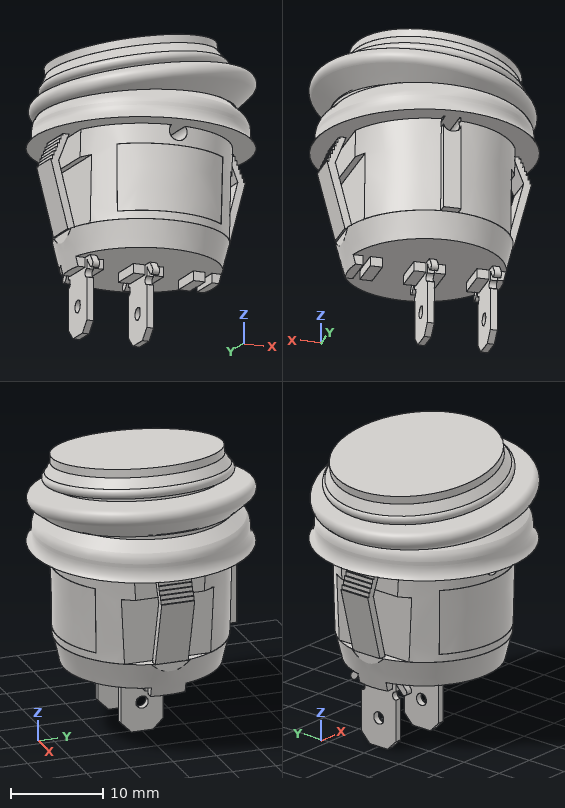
import cadquery as cq
import math


cap_tilt = 9.0
boot_tilt = 8.5

flange_radius = 12.5
band_radius = 23.8 / 2
skirt_height = 1.5
band_top = 1.92
shoulder_radius = 23.0 / 2
shoulder_top = 3.05
neck_radius = 10.25
neck_base = 4.2
neck_top = 4.73

bead_radius = 1.08
bead_ring_radius = 22.85 / 2
bead_center_x = 0.17
bead_center_z = 5.7
boot_under_angle = 37.0
boot_hub_radius = 9.8

cap_face_radius = 19.0 / 2
cap_face_x = -1.25
cap_face_z = 10.23
cap_dome_rise = 0.55
cap_wall_height = 0.95
cap_rim_radius = 10.2
cap_rim_depth = 2.05
cap_rim_roll = 0.6
cap_roll_start = 60.0
cap_neck_radius = 9.12
cap_neck_depth = 3.7

barrel_top_radius = 9.93
barrel_bottom_radius = 9.65
barrel_height = 10.67
upper_flat_x = 9.0
lower_flat_x = 8.27
flat_step_z = -3.07
vent_diameter = 2.1
vent_z = -0.65
key_width = 2.0
key_reach = 10.75
label_top_z = -2.23
label_bottom_z = -9.75
label_angle = 79.0
label_thickness = 0.05

base_top_radius = 9.62
base_taper = 0.75
base_height = 3.05
base_flat_x = 9.35
base_bottom_z = -barrel_height - base_height
foot_height = 1.08
foot_length = 3.58
foot_width = 4.02
terminal_pitch = 7.13

leg_width = 3.8
leg_bend_x = 11.58
leg_top_x = 10.13
leg_bottom_x = 9.55
leg_thickness_x = 0.88
leg_inner_bend_x = 10.65
leg_inner_top_x = 9.42
tooth_count = 7
tooth_first_z = -0.17
tooth_last_z = -2.97

terminal_thickness = 0.8
terminal_width = 4.9
terminal_tip_z = -22.05
terminal_chamfer = 1.18
terminal_hole_diameter = 1.4
terminal_hole_z = -18.7
notch_radius = 0.47
notch_z = -15.55
barb_radius = 0.4
barb_tip_y = 3.6
barb_tip_z = -14.75
barb_angle = 41.0
barb_length = 2.7

cut_length = 67.55


def revolved(profile):
    """Turn a closed X-Z half profile about the Z axis."""
    return profile.close().revolve(360, (0, 0), (0, 1))


def tilted(body, angle, x, z):
    """Lean a body toward -X by the angle and move its origin to (x, 0, z)."""
    return body.rotate((0, 0, 0), (0, 1, 0), -angle).translate((x, 0, z))


def box_between(x0, x1, y0, y1, z0, z1):
    """Axis-aligned box between two corners."""
    return cq.Workplane("XY").box(x1 - x0, y1 - y0, z1 - z0, centered=False).translate((x0, y0, z0))


def between_flats(half_width, z0, z1):
    """Slab between two flats at +X and -X, used to trim round bodies."""
    return box_between(-half_width, half_width, -cut_length, cut_length, z0, z1)


def make_bezel():
    flare = flange_radius - band_radius
    skirt_arc = (flare**2 + skirt_height**2) / (2 * flare)
    half_sweep = math.asin(skirt_height / skirt_arc) / 2
    skirt_mid = (
        band_radius + skirt_arc * (1 - math.cos(half_sweep)),
        skirt_height - skirt_arc * math.sin(half_sweep),
    )
    profile = (
        cq.Workplane("XZ")
        .lineTo(flange_radius, 0)
        .threePointArc(skirt_mid, (band_radius, skirt_height))
        .lineTo(band_radius, band_top)
        .tangentArcPoint((shoulder_radius, shoulder_top), relative=False)
        .lineTo(neck_radius, neck_base)
        .lineTo(neck_radius, neck_top)
        .lineTo(0, neck_top)
    )
    return revolved(profile)


def make_boot(bezel):
    slope = math.radians(boot_under_angle)
    tangent_r = bead_ring_radius + bead_radius * math.sin(slope)
    tangent_z = -bead_radius * math.cos(slope)
    hub_z = tangent_z - (tangent_r - boot_hub_radius) * math.tan(slope)
    profile = (
        cq.Workplane("XZ")
        .moveTo(0, hub_z)
        .lineTo(boot_hub_radius, hub_z)
        .lineTo(tangent_r, tangent_z)
        .threePointArc((bead_ring_radius + bead_radius, 0), (bead_ring_radius, bead_radius))
        .lineTo(0, bead_radius)
    )
    return tilted(revolved(profile), boot_tilt, bead_center_x, bead_center_z).cut(bezel)


def make_cap(boot):
    start = math.radians(cap_roll_start)
    roll_center_r = cap_rim_radius - cap_rim_roll * math.cos(start)
    roll_center_z = -cap_rim_depth - cap_rim_roll * math.sin(start)
    dome_radius = (cap_face_radius**2 + cap_dome_rise**2) / (2 * cap_dome_rise)
    half_sweep = math.asin(cap_face_radius / dome_radius) / 2
    dome_mid = (
        dome_radius * math.sin(half_sweep),
        cap_dome_rise - dome_radius * (1 - math.cos(half_sweep)),
    )
    profile = (
        cq.Workplane("XZ")
        .moveTo(0, cap_dome_rise)
        .threePointArc(dome_mid, (cap_face_radius, 0))
        .lineTo(cap_face_radius, -cap_wall_height)
        .lineTo(cap_rim_radius, -cap_rim_depth)
        .threePointArc(
            (roll_center_r + cap_rim_roll, roll_center_z),
            (roll_center_r, roll_center_z - cap_rim_roll),
        )
        .lineTo(cap_neck_radius, roll_center_z - cap_rim_roll)
        .lineTo(cap_neck_radius, -cap_neck_depth)
        .lineTo(0, -cap_neck_depth)
    )
    return tilted(revolved(profile), cap_tilt, cap_face_x, cap_face_z).cut(boot)


def make_barrel():
    profile = (
        cq.Workplane("XZ")
        .lineTo(barrel_top_radius, 0)
        .lineTo(barrel_bottom_radius, -barrel_height)
        .lineTo(0, -barrel_height)
    )
    flats = between_flats(upper_flat_x, flat_step_z, 0)
    flats = flats.union(between_flats(lower_flat_x, -barrel_height, flat_step_z))
    return revolved(profile).intersect(flats)


def barrel_radius(z):
    """Radius of the tapered barrel at height z."""
    return barrel_top_radius + (barrel_top_radius - barrel_bottom_radius) * z / barrel_height


def make_label_panel():
    """Thin curved panel on the -Y side of the barrel."""
    top = barrel_radius(label_top_z)
    bottom = barrel_radius(label_bottom_z)
    sector = (
        cq.Workplane("XZ")
        .moveTo(0, label_top_z)
        .lineTo(top + label_thickness, label_top_z)
        .lineTo(bottom + label_thickness, label_bottom_z)
        .lineTo(0, label_bottom_z)
        .close()
        .revolve(label_angle, (0, 0), (0, 1))
    )
    center = sector.val().Center()
    turn = -90 - math.degrees(math.atan2(center.y, center.x))
    return sector.rotate((0, 0, 0), (0, 0, 1), turn)


def make_key():
    """Rib along the +Y side of the barrel."""
    return box_between(-key_width / 2, key_width / 2, 0, key_reach, -barrel_height, 0)


def make_base():
    """Tapered base with three feet, each slotted for a terminal."""
    full_height = base_height + foot_height
    end_radius = base_top_radius - base_taper * full_height / base_height
    foot_z = base_bottom_z - foot_height
    cone = revolved(
        cq.Workplane("XZ")
        .moveTo(0, -barrel_height)
        .lineTo(base_top_radius, -barrel_height)
        .lineTo(end_radius, foot_z)
        .lineTo(0, foot_z)
    )
    keep = between_flats(base_flat_x, base_bottom_z, -barrel_height)
    for x in (-terminal_pitch, 0, terminal_pitch):
        foot = cq.Workplane("XY").box(foot_length, foot_width, foot_height)
        slot = cq.Workplane("XY").box(terminal_thickness, foot_width, foot_height)
        keep = keep.union(foot.cut(slot).translate((x, 0, foot_z + foot_height / 2)))
    return cone.intersect(keep)


def make_leg():
    """Bent snap leg on the +X side with a toothed upper outer face."""
    pitch = (tooth_first_z - tooth_last_z) / (tooth_count - 1)
    step = (leg_bend_x - leg_top_x) / tooth_count
    outline = cq.Workplane("XZ").moveTo(leg_inner_top_x, 0).lineTo(leg_top_x, 0)
    for i in range(tooth_count):
        tooth_z = tooth_first_z - i * pitch
        outline = outline.lineTo(leg_top_x + i * step, tooth_z)
        outline = outline.lineTo(leg_top_x + (i + 1) * step, tooth_z)
    outline = (
        outline.lineTo(leg_bottom_x, -barrel_height)
        .lineTo(leg_bottom_x - leg_thickness_x, -barrel_height)
        .lineTo(leg_inner_bend_x, flat_step_z)
        .close()
    )
    return outline.extrude(leg_width / 2, both=True)


def make_housing():
    vent = cq.Workplane("XZ", origin=(0, 0, vent_z)).circle(vent_diameter / 2)
    vent = vent.extrude(cut_length / 2, both=True)
    leg = make_leg()
    housing = make_barrel().union(make_label_panel()).union(make_key()).cut(vent)
    housing = housing.union(make_base())
    return housing.union(leg).union(leg.mirror("YZ"))


def make_terminal(x):
    blade_height = base_bottom_z - terminal_tip_z
    half_width = terminal_width / 2

    def sheet(z=0.0):
        return cq.Workplane("YZ", origin=(0, 0, z))

    def thick(sketch):
        return sketch.extrude(terminal_thickness / 2, both=True)

    blade = thick(sheet(terminal_tip_z + blade_height / 2).rect(terminal_width, blade_height))
    blade = blade.edges("|X and <Z").chamfer(terminal_chamfer)
    blade = blade.cut(thick(sheet(terminal_hole_z).circle(terminal_hole_diameter / 2)))
    for side in (-1, 1):
        blade = blade.cut(thick(sheet(notch_z).center(side * half_width, 0).circle(notch_radius)))
        barb = thick(sheet(barb_length / 2 - barb_radius).slot2D(barb_length, 2 * barb_radius, 90))
        barb = barb.rotate((0, 0, 0), (1, 0, 0), side * barb_angle)
        blade = blade.union(barb.translate((0, side * barb_tip_y, barb_tip_z)))
    below_base = box_between(-cut_length, cut_length, -cut_length, cut_length, terminal_tip_z, base_bottom_z)
    return blade.intersect(below_base).translate((x, 0, 0))


bezel = make_bezel()
boot = make_boot(bezel)
cap = make_cap(boot)
housing = make_housing()
terminals = [make_terminal(x) for x in (-terminal_pitch, 0)]

result = cq.Compound.makeCompound(
    [housing.val(), bezel.val(), boot.val(), cap.val()] + [terminal.val() for terminal in terminals]
)